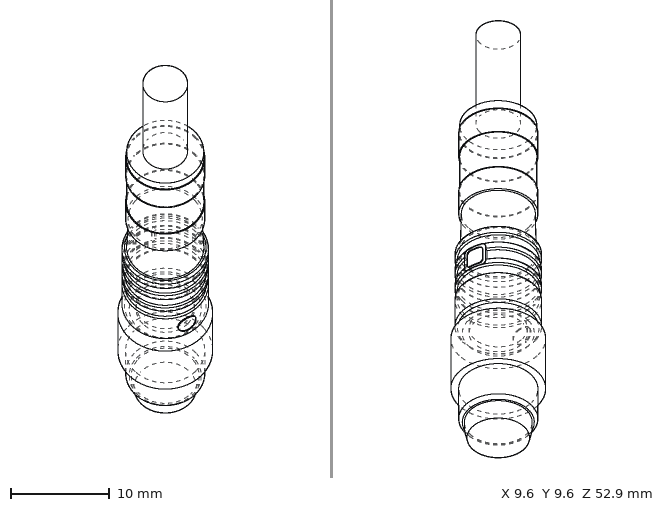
import cadquery as cq

LENGTH = 52.85

CABLE_RADIUS = 2.25
SLEEVE_RADIUS = 3.9
BAND_RADIUS = 4.0
FLARE_TOP_RADIUS = 3.75
FLARE_MIDDLE_RADIUS = 3.8
FLARE_BOTTOM_RADIUS = 3.9
GRIP_RADIUS = 4.4
NECK_RADIUS = 2.95
NUT_RADIUS = 4.8
NUT_TOP_RADIUS = 3.65
PLUG_RADIUS = 4.0
PLUG_CHAMFER_RADIUS = 3.65
NOSE_RADIUS = 3.45
NOSE_MIDDLE_RADIUS = 3.35
NOSE_TIP_RADIUS = 3.15

NOSE_CURVE_TOP = 1.25
NOSE_TOP = 2.05
PLUG_BOTTOM = 2.5
NUT_BOTTOM = 6.45
NUT_CHAMFER_BOTTOM = 13.05
NUT_TOP = 13.75
GRIP_BOTTOM = 14.4
GRIP_TOP = 24.35
LOWER_BAND_BOTTOM = 29.4
LOWER_BAND_TOP = 32.3
UPPER_BAND_BOTTOM = 36.9
UPPER_BAND_TOP = 39.95
SLEEVE_EDGE = 41.0
SLEEVE_TOP = 41.15

GRIP_CHAMFER = 0.25
LOWER_GROOVE = (18.1, 19.4)
MIDDLE_GROOVE = (20.0, 21.4)
UPPER_GROOVE = (22.1, 23.35)
GROOVE_DEPTH = 0.2
GROOVE_SLOPE = 0.15

KEY_ANGLE = 10.0
BADGE_WIDTH = 2.55
BADGE_BOTTOM = LOWER_GROOVE[1]
BADGE_TOP = UPPER_GROOVE[0]
BADGE_CORNER = 0.4
BADGE_RIM = 0.3
BADGE_RADIUS = GRIP_RADIUS + 0.05
BADGE_RECESS = 0.1
DOT_DIAMETER = 2.1
DOT_Z = 16.45
DOT_RADIUS = GRIP_RADIUS + 0.1


def turned_body():
    """Plug nose, nut, grip, sleeve and cable, revolved about Z."""
    flare_middle = (FLARE_MIDDLE_RADIUS, (GRIP_TOP + LOWER_BAND_BOTTOM) / 2)
    nose_middle = (NOSE_MIDDLE_RADIUS, NOSE_CURVE_TOP / 2)
    profile = (
        cq.Workplane("XZ")
        .moveTo(0, 0)
        .lineTo(NOSE_TIP_RADIUS, 0)
        .threePointArc(nose_middle, (NOSE_RADIUS, NOSE_CURVE_TOP))
        .lineTo(NOSE_RADIUS, NOSE_TOP)
        .lineTo(PLUG_CHAMFER_RADIUS, NOSE_TOP)
        .lineTo(PLUG_RADIUS, PLUG_BOTTOM)
        .lineTo(PLUG_RADIUS, NUT_BOTTOM)
        .lineTo(NUT_RADIUS, NUT_BOTTOM)
        .lineTo(NUT_RADIUS, NUT_CHAMFER_BOTTOM)
        .lineTo(NUT_TOP_RADIUS, NUT_TOP)
        .lineTo(NECK_RADIUS, NUT_TOP)
        .lineTo(NECK_RADIUS, GRIP_BOTTOM)
        .lineTo(GRIP_RADIUS - GRIP_CHAMFER, GRIP_BOTTOM)
        .lineTo(GRIP_RADIUS, GRIP_BOTTOM + GRIP_CHAMFER)
        .lineTo(GRIP_RADIUS, GRIP_TOP - GRIP_CHAMFER)
        .lineTo(GRIP_RADIUS - GRIP_CHAMFER, GRIP_TOP)
        .lineTo(FLARE_BOTTOM_RADIUS, GRIP_TOP)
        .threePointArc(flare_middle, (FLARE_TOP_RADIUS, LOWER_BAND_BOTTOM))
        .lineTo(BAND_RADIUS, LOWER_BAND_BOTTOM)
        .lineTo(BAND_RADIUS, LOWER_BAND_TOP)
        .lineTo(SLEEVE_RADIUS, LOWER_BAND_TOP)
        .lineTo(SLEEVE_RADIUS, UPPER_BAND_BOTTOM)
        .lineTo(BAND_RADIUS, UPPER_BAND_BOTTOM)
        .lineTo(BAND_RADIUS, UPPER_BAND_TOP)
        .lineTo(SLEEVE_RADIUS, UPPER_BAND_TOP)
        .lineTo(SLEEVE_RADIUS, SLEEVE_EDGE)
        .lineTo(CABLE_RADIUS, SLEEVE_TOP)
        .lineTo(CABLE_RADIUS, LENGTH)
        .lineTo(0, LENGTH)
        .close()
    )
    return profile.revolve(360, (0, 0, 0), (0, 1, 0))


def grip_groove(bottom, top):
    """Ring with a flat floor and sloped ends, to be cut from the grip."""
    floor_radius = GRIP_RADIUS - GROOVE_DEPTH
    profile = (
        cq.Workplane("XZ")
        .moveTo(GRIP_RADIUS, bottom)
        .lineTo(floor_radius, bottom + GROOVE_SLOPE)
        .lineTo(floor_radius, top - GROOVE_SLOPE)
        .lineTo(GRIP_RADIUS, top)
        .close()
    )
    return profile.revolve(360, (0, 0, 0), (0, 1, 0))


def trimmed_to_radius(block, radius):
    """Give a block that stands out sideways a round outer face about Z."""
    return block.intersect(cq.Workplane("XY").circle(radius).extrude(LENGTH))


def badge_block(inset):
    """Block with rounded corners, reaching from inside the grip out towards -X."""
    width = BADGE_WIDTH - 2 * inset
    height = BADGE_TOP - BADGE_BOTTOM - 2 * inset
    return (
        cq.Workplane("YZ", origin=(-NECK_RADIUS, 0, (BADGE_BOTTOM + BADGE_TOP) / 2))
        .rect(width, height)
        .extrude(NECK_RADIUS - NUT_RADIUS)
        .edges("|X")
        .fillet(BADGE_CORNER)
    )


def badge_pocket():
    """Shallow pocket inside the badge rim, with a round floor."""
    floor = cq.Workplane("XY").circle(BADGE_RADIUS - BADGE_RECESS).extrude(LENGTH)
    return badge_block(BADGE_RIM).cut(floor)


def index_dot():
    """Round pad on the +X side of the grip."""
    pad = (
        cq.Workplane("YZ", origin=(NECK_RADIUS, 0, DOT_Z))
        .circle(DOT_DIAMETER / 2)
        .extrude(NUT_RADIUS - NECK_RADIUS)
    )
    return trimmed_to_radius(pad, DOT_RADIUS)


def turned_to_key(feature):
    """Turn a feature about Z to the key direction."""
    return feature.rotate((0, 0, 0), (0, 0, 1), KEY_ANGLE)


result = turned_body()
for groove in (LOWER_GROOVE, MIDDLE_GROOVE, UPPER_GROOVE):
    result = result.cut(grip_groove(*groove))

result = result.union(turned_to_key(trimmed_to_radius(badge_block(0), BADGE_RADIUS)))
result = result.cut(turned_to_key(badge_pocket()))
result = result.union(turned_to_key(index_dot()))